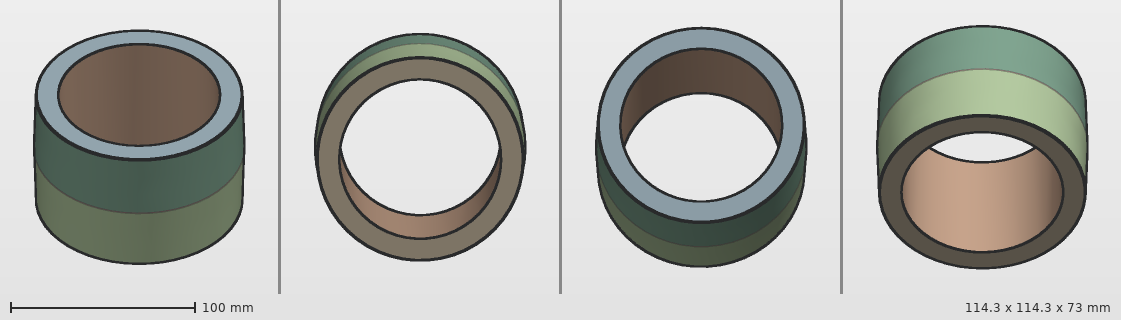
import cadquery as cq

outer_diameter = 114.3
height = 73.0
bore_diameter = 87.5

end_diameter = 112.2
band_width = 0.6

outer_chamfer = 0.6
bore_chamfer = 0.2

outer_radius = outer_diameter / 2
end_radius = end_diameter / 2
bore_radius = bore_diameter / 2
half_height = height / 2
cone_end = half_height - outer_chamfer
half_band = band_width / 2

half_section = (
    cq.Workplane("XZ")
    .moveTo(bore_radius + bore_chamfer, -half_height)
    .lineTo(end_radius - outer_chamfer, -half_height)
    .lineTo(end_radius, -cone_end)
    .lineTo(outer_radius, -half_band)
    .lineTo(outer_radius, half_band)
    .lineTo(end_radius, cone_end)
    .lineTo(end_radius - outer_chamfer, half_height)
    .lineTo(bore_radius + bore_chamfer, half_height)
    .lineTo(bore_radius, half_height - bore_chamfer)
    .lineTo(bore_radius, -half_height + bore_chamfer)
    .close()
)

result = half_section.revolve(360, (0, 0, 0), (0, 1, 0))